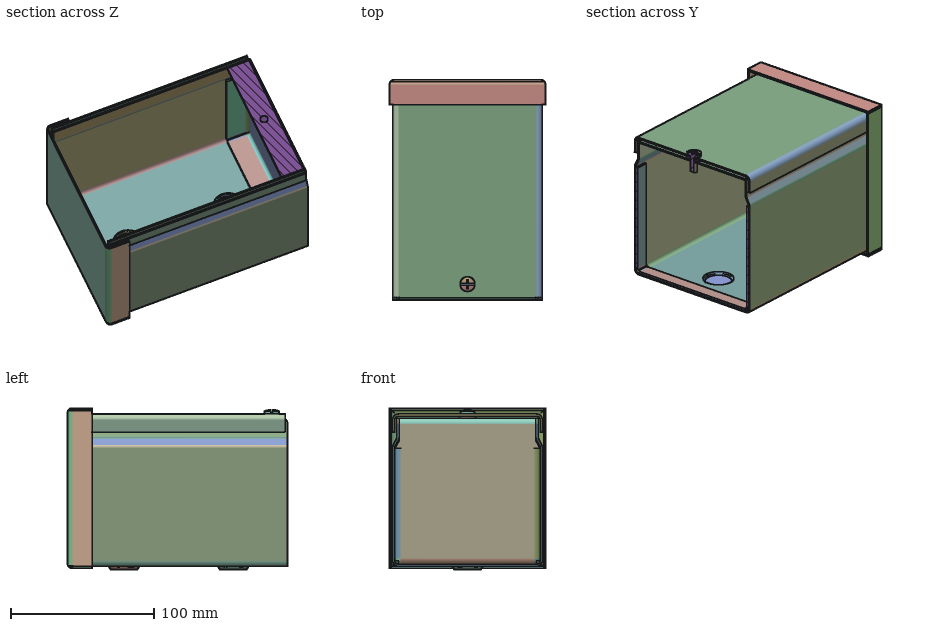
import cadquery as cq
import math


total_length = 153.9
sheet = 1.5
bend_inner = 2.5
bend_outer = bend_inner + sheet
lid_clearance = 1.4

cap_width = 109.1
cap_height = 112.0
cap_depth = 17.4
cap_sheet = 1.4
cap_bend_outer = 3.7
cap_seam = 0.3
cap_front = total_length - cap_depth
cap_bend_start = total_length - cap_bend_outer

box_width = 104.5
box_half = box_width / 2
box_length = cap_bend_start
lid_top = 106.5
lid_skirt = 12.8
lid_front = 1.7
lid_skirt_corner = 1.2
panel_top = lid_top - sheet - lid_clearance

jog_depth = sheet + lid_clearance
jog_bottom = 84.0
jog_top = 89.7
jog_angle = math.atan2(jog_depth, jog_top - jog_bottom)
jog_inner_shift = sheet * math.tan(jog_angle / 2)

boss_height = 2.2
boss_base_diameter = 21.5
boss_tip_diameter = 18.8
boss_positions = (38.0, 114.3)

side_flange_top = 82.6
panel_jog_gap = 1.5
panel_relief = 2.5
panel_flange = 18.5

screw_y = 11.1
head_diameter = 10.3
head_side = 1.8
head_height = 3.1
shank_diameter = 5.0
shank_length = 12.3
slot_width = 1.2
slot_depth = 1.8
cross_length = 6.2
cross_width = 0.8
washer_diameter = 11.5


def prism(points, y_start, y_end):
    """Extrude an outline of (x, z) points along Y."""
    plane = cq.Workplane("XZ", origin=(0, y_start, 0))
    return plane.polyline(points).close().extrude(y_start - y_end)


def block(half_width, y_start, y_end, z_start, z_end):
    """Rectangular block centred on x = 0."""
    size = (2 * half_width, y_end - y_start, z_end - z_start)
    return cq.Workplane("XY").box(*size, centered=(True, False, False)).translate((0, y_start, z_start))


def edges_at_height(solid, height):
    """Edges along Y that lie at one height."""
    reach = total_length
    tolerance = 0.02
    low = (-reach, -reach, height - tolerance)
    high = (reach, reach, height + tolerance)
    return solid.edges("|Y").edges(cq.selectors.BoxSelector(low, high))


def cylinder(diameter, z_start, z_end):
    """Vertical cylinder on the screw axis."""
    plane = cq.Workplane("XY", origin=(0, screw_y, z_start))
    return plane.circle(diameter / 2).extrude(z_end - z_start)


def box_profile(inset, top):
    """Solid with the outline of the box, moved inward by the inset, up to the given top."""
    lower_half = box_half - inset
    upper_half = lower_half - jog_depth
    shift = jog_inner_shift * inset / sheet
    right = [
        (lower_half, inset),
        (lower_half, jog_bottom - shift),
        (upper_half, jog_top - shift),
        (upper_half, top),
    ]
    left = [(-x, z) for x, z in reversed(right)]
    solid = prism(right + left, 0, box_length)
    solid = edges_at_height(solid, inset).fillet(bend_outer - inset)
    solid = edges_at_height(solid, jog_bottom - shift).fillet(bend_outer - inset)
    return edges_at_height(solid, jog_top - shift).fillet(bend_inner + inset)


def boss_cone(y, offset):
    """Cone of a floor boss, raised by the offset."""
    plane = cq.Workplane("XY", origin=(0, y, offset))
    cone = plane.circle(boss_base_diameter / 2).workplane(offset=-boss_height)
    return cone.circle(boss_tip_diameter / 2).loft()


def make_box():
    """Floor and two jogged sides from one sheet, with pressed bosses in the floor."""
    outer = box_profile(0, panel_top)
    inner = box_profile(sheet, panel_top + sheet)
    shell = outer.cut(inner)
    shell = shell.edges("|X and >Z and <Y").fillet(bend_outer)
    for y in boss_positions:
        shell = shell.union(boss_cone(y, 0)).cut(boss_cone(y, sheet))
    return shell


def make_lid():
    """Channel over the top of the box, with rounded lower front corners on its sides."""
    skirt_bottom = lid_top - lid_skirt
    outer = block(box_half, lid_front, box_length, skirt_bottom, lid_top)
    outer = outer.edges("|Y and >Z").fillet(bend_outer)
    outer = outer.edges("|X and <Z and <Y").fillet(lid_skirt_corner)
    inner = block(box_half - sheet, lid_front, box_length, skirt_bottom, lid_top - sheet)
    inner = inner.edges("|Y and >Z").fillet(bend_inner)
    return outer.cut(inner).cut(cylinder(shank_diameter, skirt_bottom, lid_top))


def make_cap():
    """Square pan over the back end, with a seam at each corner between its flanges."""
    bottom = -cap_sheet
    top = bottom + cap_height
    outer = block(cap_width / 2, cap_front, total_length, bottom, top)
    outer = outer.faces(">Y").edges().fillet(cap_bend_outer)
    inner_half = cap_width / 2 - cap_sheet
    inner_top = top - cap_sheet
    inner = block(inner_half, cap_front, total_length - cap_sheet, 0, inner_top)
    inner = inner.faces(">Y").edges().fillet(cap_bend_outer - cap_sheet)
    cap = outer.cut(inner)
    for seam_bottom in (0, inner_top - cap_seam):
        seam_top = seam_bottom + cap_seam
        cap = cap.cut(block(cap_width / 2, cap_front, total_length - cap_sheet, seam_bottom, seam_top))
    return cap


def panel_lower_blank(inset):
    """Rounded lower part of the panel, moved inward by the inset."""
    half = box_half - sheet - inset
    blank = block(half, inset, panel_flange, sheet + inset, side_flange_top)
    bends = blank.edges("(|Y and <Z) or (<Y and <Z) or (|Z and <Y)")
    return bends.fillet(bend_outer - inset)


def panel_upper_blank(inset):
    """Upper part of the panel with its rounded top bend, lowered and set back by the inset."""
    lower_half = box_half - sheet
    upper_half = lower_half - jog_depth
    right = [
        (lower_half, side_flange_top),
        (upper_half, jog_top - jog_inner_shift - panel_jog_gap),
        (upper_half, panel_top - inset),
    ]
    left = [(-x, z) for x, z in reversed(right)]
    blank = prism(right + left, inset, panel_flange)
    return blank.edges("|X and >Z and <Y").fillet(bend_outer - inset)


def make_panel():
    """End panel with side, bottom and top flanges folded toward the back."""
    lower = panel_lower_blank(0).cut(panel_lower_blank(sheet))
    upper = panel_upper_blank(0).cut(panel_upper_blank(sheet))
    panel = lower.union(upper).cut(cylinder(shank_diameter, panel_top - sheet, panel_top))
    notch = block(panel_relief, 0, panel_flange, sheet - panel_relief, sheet + panel_relief)
    for side in (-1, 1):
        panel = panel.cut(notch.translate((side * (box_half - sheet), 0, 0)))
    return panel


def make_screw():
    """Domed head with a driver slot and a short cross slot, on a plain shank."""
    radius = head_diameter / 2
    shoulder = lid_top + head_side
    crown = lid_top + head_height
    dome_rise = crown - shoulder
    dome_radius = (radius ** 2 + dome_rise ** 2) / (2 * dome_rise)
    dome = cq.Workplane("XY").sphere(dome_radius).translate((0, screw_y, crown - dome_radius))
    head = cylinder(head_diameter, lid_top, crown).intersect(dome)
    slot_bottom = crown - slot_depth
    slot = cq.Workplane("XY").box(head_diameter, slot_width, slot_depth, centered=(True, True, False))
    cross = cq.Workplane("XY").box(cross_width, cross_length, slot_depth, centered=(True, True, False))
    head = head.cut(slot.union(cross).translate((0, screw_y, slot_bottom)))
    return head.union(cylinder(shank_diameter, lid_top - shank_length, lid_top))


def make_washer():
    """Spacer ring between the lid and the top flange of the panel."""
    ring = cylinder(washer_diameter, panel_top, panel_top + lid_clearance)
    return ring.cut(cylinder(shank_diameter, panel_top, panel_top + lid_clearance))


box = make_box()
lid = make_lid()
cap = make_cap()
panel = make_panel()
screw = make_screw()
washer = make_washer()

bodies = [box, lid, cap, panel, screw, washer]
result = cq.Compound.makeCompound([solid for body in bodies for solid in body.solids().vals()])